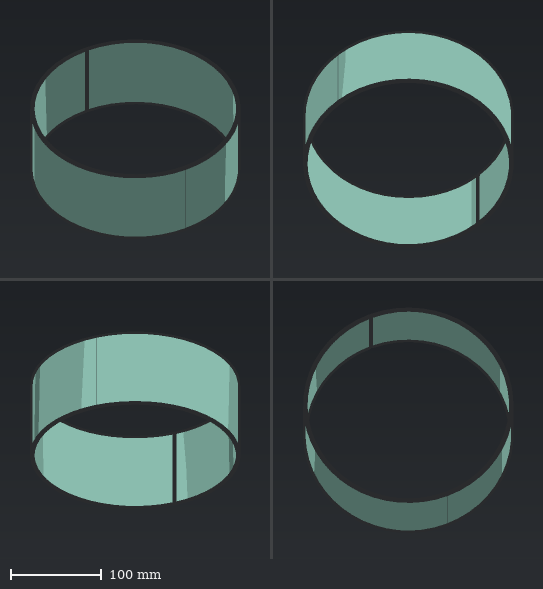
import cadquery as cq

outer_diameter = 230.0
wall = 2.5
height = 90.0
slit_width = 2.0
edge_chamfer = 0.5

outer_radius = outer_diameter / 2
inner_radius = outer_radius - wall
slit_length = 4 * wall


def make_band():
    """Thin-walled band with its outer rims chamfered at both ends."""
    outside = (
        cq.Workplane("XY")
        .circle(outer_radius)
        .extrude(height)
        .edges("%CIRCLE")
        .chamfer(edge_chamfer)
    )
    bore = cq.Workplane("XY").circle(inner_radius).extrude(height)
    return outside.cut(bore)


def make_slit():
    """Full-height slit through the -X wall, with one face on the XZ plane and the other at +Y."""
    return (
        cq.Workplane("XY")
        .center(-outer_radius, slit_width / 2)
        .rect(slit_length, slit_width)
        .extrude(height)
    )


result = make_band().cut(make_slit())